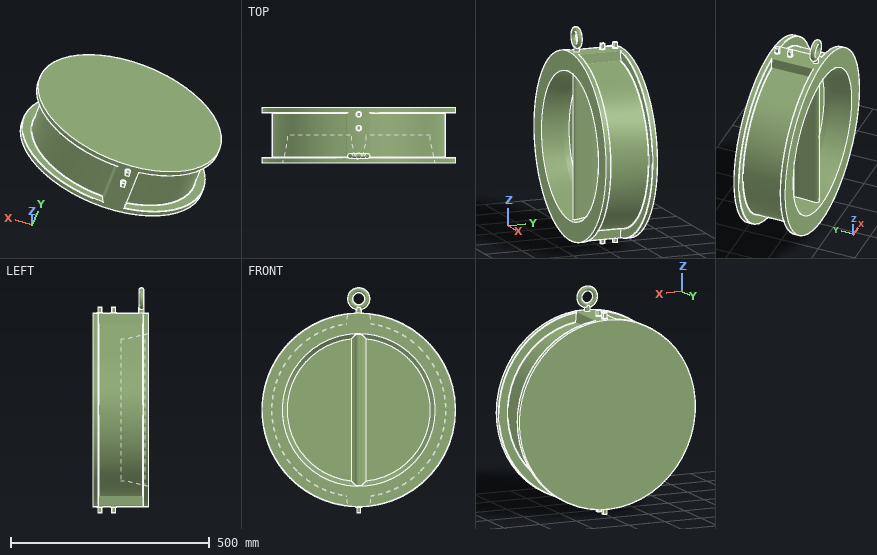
import cadquery as cq
import math

BODY_LENGTH = 140
FLANGE_RADIUS = 244
FLANGE_THICKNESS = 14
BARREL_RADIUS = 218.5
FRONT_Y = -BODY_LENGTH / 2

BRIDGE_HALF_WIDTH = 28
BRIDGE_DRAFT_DEG = 5

POCKET_FILLET = 1.2

DISC_FACE_Y = 0
SEAT_RADIUS = 180
SEAT_LENGTH = 15
MOUTH_RADIUS = 192.3
CONE_INNER_Y = DISC_FACE_Y - SEAT_LENGTH

RIB_ROOT_HALF_WIDTH = 18.5
RIB_NOSE_RADIUS = 9.5
RIB_TIP_Y = -61

PLUG_YS = (18, 52.5)
PLUG_COLLAR_RADIUS = 7
PLUG_COLLAR_HEIGHT = 2
PLUG_SQUARE = 10
PLUG_HEIGHT = 15

EYE_Y = -52
EYE_TUBE_RADIUS = 6.5
EYE_RING_RADIUS = 21.5
EYE_TOP_Z = 308
EYE_CENTER_Z = EYE_TOP_Z - EYE_RING_RADIUS - EYE_TUBE_RADIUS
EYE_SHANK_RADIUS = 7

EMBED = 10

TOLERANCE = 0.1


def cylinder_y(radius, y_start, y_end):
    """Solid cylinder on the Y axis between two Y positions."""
    disc = cq.Workplane("XZ", origin=(0, y_start, 0)).circle(radius)
    return disc.extrude(y_start - y_end)


def flanged_body():
    """Barrel with an end flange on each side and two bridges between them."""
    barrel = cylinder_y(BARREL_RADIUS, FRONT_Y, -FRONT_Y)
    front_flange = cylinder_y(FLANGE_RADIUS, FRONT_Y, FRONT_Y + FLANGE_THICKNESS)
    rear_flange = cylinder_y(FLANGE_RADIUS, -FRONT_Y - FLANGE_THICKNESS, -FRONT_Y)
    body = barrel.union(front_flange).union(rear_flange).union(bridges())
    pocket_edges = [edge for edge in body.edges().vals() if borders_pocket(edge)]
    return body.newObject(pocket_edges).fillet(POCKET_FILLET)


def borders_pocket(edge):
    """True for the edges around the rim or the floor of a pocket."""
    point = edge.positionAt(0.5)
    radius = math.hypot(point.x, point.z)
    inside_flanges = abs(point.y) < -FRONT_Y - FLANGE_THICKNESS / 2
    on_rim = abs(radius - FLANGE_RADIUS) < TOLERANCE
    on_floor = abs(radius - BARREL_RADIUS) < TOLERANCE
    off_bridge = abs(point.x) > BRIDGE_HALF_WIDTH - TOLERANCE
    return inside_flanges and off_bridge and (on_rim or on_floor)


def bridges():
    """Top and bottom bridges, flaring towards the barrel and flush with the flange rims."""
    flare = math.tan(math.radians(BRIDGE_DRAFT_DEG))
    waist_z = BARREL_RADIUS - EMBED
    waist_half_width = BRIDGE_HALF_WIDTH + flare * (FLANGE_RADIUS - waist_z)
    cap_z = FLANGE_RADIUS + EMBED
    cap_half_width = BRIDGE_HALF_WIDTH + flare * (FLANGE_RADIUS - cap_z)
    wedge = (
        cq.Workplane("XZ", origin=(0, FRONT_Y, 0))
        .moveTo(-waist_half_width, waist_z)
        .lineTo(waist_half_width, waist_z)
        .lineTo(cap_half_width, cap_z)
        .lineTo(-cap_half_width, cap_z)
        .close()
        .extrude(-BODY_LENGTH)
    )
    both = wedge.union(wedge.mirror("XY"))
    return both.intersect(cylinder_y(FLANGE_RADIUS, FRONT_Y, -FRONT_Y))


def recess():
    """Volume removed in front of the disc."""
    return (
        cq.Workplane("XY")
        .moveTo(0, FRONT_Y)
        .lineTo(MOUTH_RADIUS, FRONT_Y)
        .lineTo(SEAT_RADIUS, CONE_INNER_Y)
        .lineTo(SEAT_RADIUS, DISC_FACE_Y)
        .lineTo(0, DISC_FACE_Y)
        .close()
        .revolve(360, (0, 0, 0), (0, 1, 0))
    )


def disc_rib():
    """Vertical rib across the disc, trimmed to end on the recess wall."""
    nose_center_y = RIB_TIP_Y + RIB_NOSE_RADIUS
    flank_length = CONE_INNER_Y - nose_center_y
    reach = math.hypot(RIB_ROOT_HALF_WIDTH, flank_length)
    flank_angle = math.acos(RIB_NOSE_RADIUS / reach) - math.atan2(flank_length, RIB_ROOT_HALF_WIDTH)
    tangent_x = RIB_NOSE_RADIUS * math.cos(flank_angle)
    tangent_y = nose_center_y - RIB_NOSE_RADIUS * math.sin(flank_angle)
    return (
        cq.Workplane("XY", origin=(0, 0, -MOUTH_RADIUS))
        .moveTo(-RIB_ROOT_HALF_WIDTH, DISC_FACE_Y)
        .lineTo(-RIB_ROOT_HALF_WIDTH, CONE_INNER_Y)
        .lineTo(-tangent_x, tangent_y)
        .threePointArc((0, RIB_TIP_Y), (tangent_x, tangent_y))
        .lineTo(RIB_ROOT_HALF_WIDTH, CONE_INNER_Y)
        .lineTo(RIB_ROOT_HALF_WIDTH, DISC_FACE_Y)
        .close()
        .extrude(2 * MOUTH_RADIUS)
        .intersect(recess())
    )


def plug(y):
    """Plug on the top bridge: round collar under a square head."""
    base = cq.Workplane("XY", origin=(0, y, FLANGE_RADIUS - EMBED))
    collar = base.circle(PLUG_COLLAR_RADIUS).extrude(EMBED + PLUG_COLLAR_HEIGHT)
    head = base.rect(PLUG_SQUARE, PLUG_SQUARE).extrude(EMBED + PLUG_HEIGHT)
    return collar.union(head)


def lifting_eye():
    """Ring in the XZ plane on a short round shank."""
    ring = cq.Workplane(
        cq.Solid.makeTorus(
            EYE_RING_RADIUS,
            EYE_TUBE_RADIUS,
            cq.Vector(0, EYE_Y, EYE_CENTER_Z),
            cq.Vector(0, 1, 0),
        )
    )
    shank_base_z = FLANGE_RADIUS - EMBED
    shank_top_z = EYE_CENTER_Z - EYE_RING_RADIUS
    shank = (
        cq.Workplane("XY", origin=(0, EYE_Y, shank_base_z))
        .circle(EYE_SHANK_RADIUS)
        .extrude(shank_top_z - shank_base_z)
    )
    return shank.union(ring)


result = flanged_body().cut(recess()).union(disc_rib())
for plug_y in PLUG_YS:
    top_plug = plug(plug_y)
    result = result.union(top_plug).union(top_plug.mirror("XY"))
result = result.union(lifting_eye())